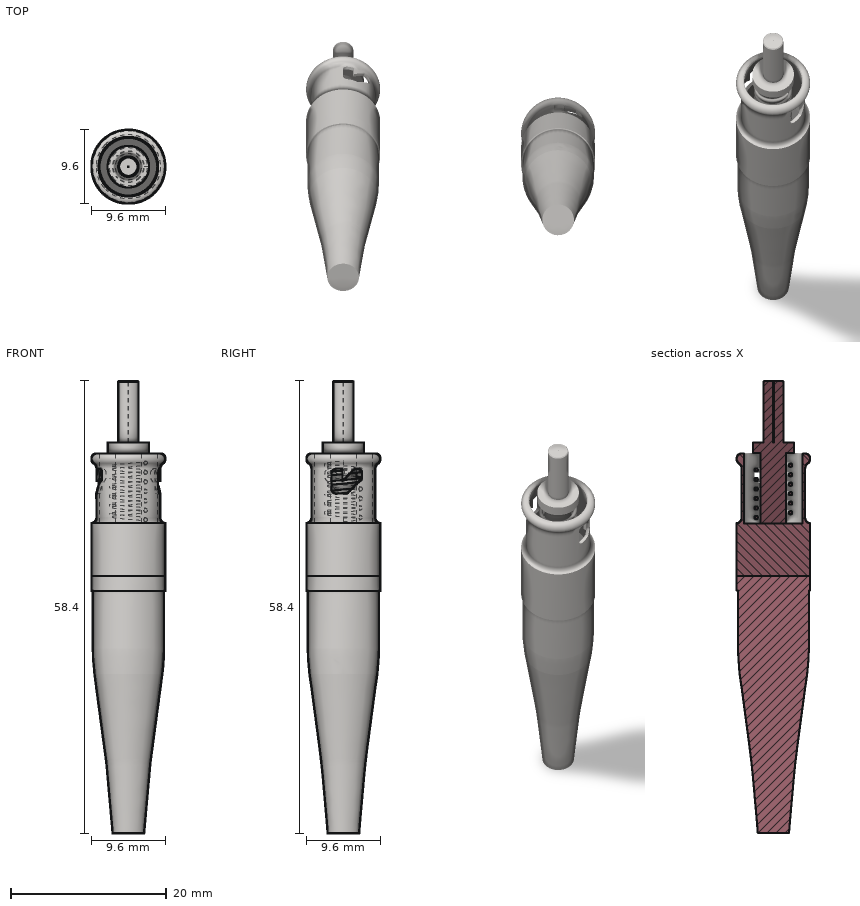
import cadquery as cq
import math

BOOT_NECK_LOW = 8.7
BOOT_NECK_HIGH = 9.6
BOOT_SHOULDER_LOW = 20.55
BOOT_SHOULDER_HIGH = 23.8
BOOT_LIP_BOTTOM = 31.3
SLEEVE_BOTTOM = 33.2
SLEEVE_FLOOR = 40.05
RIM_NECK = 47.1
RIM_TOP = 49.05
HUB_BOTTOM = RIM_TOP
HUB_TOP = 50.45
FERRULE_TOP = 58.35

BOOT_RADIUS = 4.6
BOOT_NECK_RADIUS = 2.9
BOOT_TIP_RADIUS = 2.05

SLEEVE_RADIUS = 4.8
BARREL_RADIUS = 4.15
BORE_RADIUS = 3.75
BORE_CHAMFER = 0.1
RIM_ROUND = 0.7

SLOT_BOTTOM = 43.85
SLOT_TOP = 47.05
SLOT_LEG_EDGE = 1.5
SLOT_RAMP_FOOT = -0.45
SLOT_RAMP_END = -2.4
SLOT_CORNER_RADIUS = 0.6
TOOTH_EDGE = 0.1
TOOTH_TIP = 45.45

FERRULE_RADIUS = 2.6 / 2
FERRULE_CHAMFER = 0.1
FIBRE_HOLE_RADIUS = 0.035
HUB_RADIUS = 2.7
STEM_RADIUS = 1.7

WIRE_RADIUS = 0.25
COIL_RADIUS = 2.2
SPRING_PITCH = 1.2
SPRING_TURNS = 6
SPRING_FLOOR_GAP = 0.2

DIAGONAL = math.sqrt(0.5)


def revolve_about_z(profile):
    """Turn a closed profile in the XZ plane once round the Z axis."""
    return profile.revolve(360, (0, 0, 0), (0, 1, 0))


def make_disc(radius, bottom, top):
    """Upright cylinder on the Z axis between two heights."""
    return cq.Workplane("XY", origin=(0, 0, bottom)).circle(radius).extrude(top - bottom)


def make_boot():
    """Tapered strain-relief boot, with a lip of the sleeve's radius at its top."""
    shoulder_height = BOOT_SHOULDER_HIGH - BOOT_SHOULDER_LOW
    neck_height = BOOT_NECK_HIGH - BOOT_NECK_LOW
    taper_height = BOOT_SHOULDER_LOW - BOOT_NECK_HIGH
    taper_slope = (BOOT_RADIUS - BOOT_NECK_RADIUS) / (taper_height + shoulder_height / 2)
    shoulder_radius = BOOT_NECK_RADIUS + taper_slope * taper_height
    neck_middle_radius = BOOT_NECK_RADIUS - taper_slope * neck_height / 2
    tip_slope = (neck_middle_radius - BOOT_TIP_RADIUS) / (BOOT_NECK_LOW + neck_height / 2)
    neck_low_radius = BOOT_TIP_RADIUS + tip_slope * BOOT_NECK_LOW
    profile = (
        cq.Workplane("XZ")
        .lineTo(BOOT_TIP_RADIUS, 0)
        .lineTo(neck_low_radius, BOOT_NECK_LOW)
        .tangentArcPoint((BOOT_NECK_RADIUS, BOOT_NECK_HIGH), relative=False)
        .lineTo(shoulder_radius, BOOT_SHOULDER_LOW)
        .tangentArcPoint((BOOT_RADIUS, BOOT_SHOULDER_HIGH), relative=False)
        .lineTo(BOOT_RADIUS, BOOT_LIP_BOTTOM)
        .lineTo(SLEEVE_RADIUS, BOOT_LIP_BOTTOM)
        .lineTo(SLEEVE_RADIUS, SLEEVE_BOTTOM)
        .lineTo(0, SLEEVE_BOTTOM)
        .close()
    )
    return revolve_about_z(profile)


def make_slot_cutter():
    """V-shaped slot on the -X side: an upright leg and a 45 degree ramp rising towards -Y."""
    ramp_end_height = SLOT_BOTTOM + SLOT_RAMP_FOOT - SLOT_RAMP_END
    tooth_top_edge = TOOTH_EDGE - (SLOT_TOP - TOOTH_TIP)
    cutter = (
        cq.Workplane("YZ")
        .moveTo(SLOT_LEG_EDGE, SLOT_TOP)
        .lineTo(SLOT_LEG_EDGE, SLOT_BOTTOM)
        .lineTo(SLOT_RAMP_FOOT, SLOT_BOTTOM)
        .lineTo(SLOT_RAMP_END, ramp_end_height)
        .lineTo(SLOT_RAMP_END, SLOT_TOP)
        .lineTo(tooth_top_edge, SLOT_TOP)
        .lineTo(TOOTH_EDGE, TOOTH_TIP)
        .lineTo(TOOTH_EDGE, SLOT_TOP)
        .close()
        .extrude(-SLEEVE_RADIUS)
    )
    return cutter.edges("|X and (<Y or >Y)").fillet(SLOT_CORNER_RADIUS)


def make_sleeve():
    """Bayonet sleeve: rounded rim, barrel with two opposite slots, and a solid lower body."""
    flare_radius = SLEEVE_RADIUS - BARREL_RADIUS
    flare_top = SLEEVE_FLOOR + flare_radius
    flare_middle = (SLEEVE_RADIUS - flare_radius * DIAGONAL, flare_top - flare_radius * DIAGONAL)
    rim_centre_radius = SLEEVE_RADIUS - RIM_ROUND
    rim_centre_height = RIM_TOP - RIM_ROUND
    rim_middle = (rim_centre_radius + RIM_ROUND * DIAGONAL, rim_centre_height + RIM_ROUND * DIAGONAL)
    rim_inflection = ((SLEEVE_RADIUS + BARREL_RADIUS) / 2, (rim_centre_height + RIM_NECK) / 2)
    profile = (
        cq.Workplane("XZ")
        .moveTo(0, SLEEVE_BOTTOM)
        .lineTo(SLEEVE_RADIUS, SLEEVE_BOTTOM)
        .lineTo(SLEEVE_RADIUS, SLEEVE_FLOOR)
        .threePointArc(flare_middle, (BARREL_RADIUS, flare_top))
        .lineTo(BARREL_RADIUS, RIM_NECK)
        .tangentArcPoint(rim_inflection, relative=False)
        .tangentArcPoint((SLEEVE_RADIUS, rim_centre_height), relative=False)
        .threePointArc(rim_middle, (rim_centre_radius, RIM_TOP))
        .lineTo(BORE_RADIUS + BORE_CHAMFER, RIM_TOP)
        .lineTo(BORE_RADIUS, RIM_TOP - BORE_CHAMFER)
        .lineTo(BORE_RADIUS, SLEEVE_FLOOR)
        .lineTo(0, SLEEVE_FLOOR)
        .close()
    )
    sleeve = revolve_about_z(profile)
    slot_cutter = make_slot_cutter()
    for angle in (0, 180):
        sleeve = sleeve.cut(slot_cutter.rotate((0, 0, 0), (0, 0, 1), angle))
    return sleeve


def make_ferrule():
    """Ferrule pin on a wide hub, with a stem that stands on the sleeve floor."""
    stem = make_disc(STEM_RADIUS, SLEEVE_FLOOR, HUB_BOTTOM)
    hub = make_disc(HUB_RADIUS, HUB_BOTTOM, HUB_TOP)
    pin = make_disc(FERRULE_RADIUS, HUB_TOP, FERRULE_TOP).faces(">Z").chamfer(FERRULE_CHAMFER)
    fibre_hole = make_disc(FIBRE_HOLE_RADIUS, HUB_TOP, FERRULE_TOP)
    return stem.union(hub).union(pin).cut(fibre_hole)


def make_spring():
    """Coil spring round the stem, between the sleeve floor and the hub."""
    start_height = SLEEVE_FLOOR + WIRE_RADIUS + SPRING_FLOOR_GAP
    coil_height = SPRING_PITCH * SPRING_TURNS
    path = cq.Wire.makeHelix(SPRING_PITCH, coil_height, COIL_RADIUS, center=cq.Vector(0, 0, start_height))
    wire_section = cq.Workplane("XZ").center(COIL_RADIUS, start_height).circle(WIRE_RADIUS)
    return wire_section.sweep(cq.Workplane(obj=path), isFrenet=True)


boot = make_boot()
sleeve = make_sleeve()
ferrule = make_ferrule()
spring = make_spring()

result = cq.Compound.makeCompound([body.solids().val() for body in (boot, sleeve, ferrule, spring)])